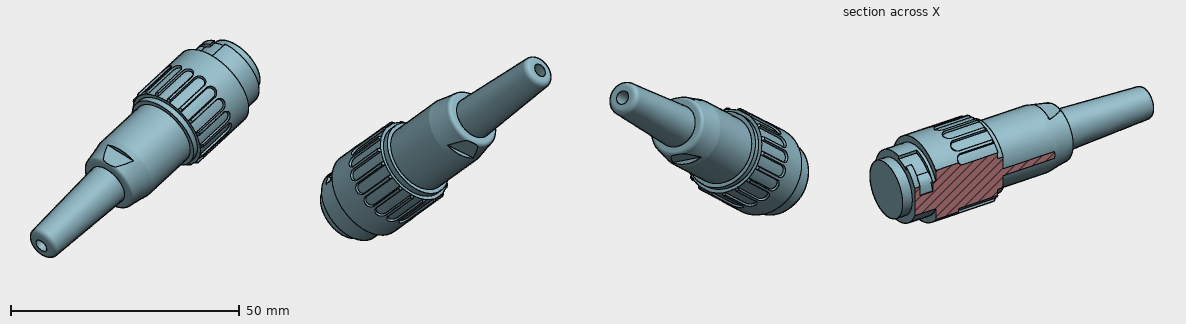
import cadquery as cq
import math


insert_dia = 13.5
bayonet_dia = 17.0
bayonet_start = 2.5

sleeve_dia = 20.0
sleeve_start = 7.95
sleeve_end = 24.05
sleeve_chamfer = 0.5
collar_dia = 17.4
collar_end = 25.4

body_dia = 15.5
body_end = 38.6
nose_end = 44.5
nose_fillet = 0.9
nose_taper_end = nose_end - nose_fillet
nose_dia = 13.6
flat_start = 40.05
flat_distance = 6.55

cable_base_dia = 9.6
cable_tip_dia = 7.55
total_length = 67.4
cable_fillet = 1.2
cable_taper_end = total_length - cable_fillet
cable_hole_dia = 3.0
cable_hole_depth = 6.75

flute_count = 18
flute_first_angle = -8.0
flute_width = 2.4
flute_wall_slope = 22.0
flute_depth = 0.505
flute_start = 14.1
flute_floor_radius = sleeve_dia / 2 - flute_depth

slot_floor_dia = 15.5
slot_side_x = -1.15
slot_lip_x = -4.2
slot_stop_z = 1.3
slot_lip_end = 3.9
slot_end = 7.15
bump_radius = 2.95
bump_center = (-5.0, 2.35)
bump_back_z = 3.6

clearance = 0.7


def disc(diameter, start, end):
    """Cylinder on the connector axis between two distances from the mating face."""
    return cq.Workplane("XZ", origin=(0, -start, 0)).circle(diameter / 2).extrude(end - start)


def block(x_min, x_max, z_min, z_max, start, end):
    """Box between two distances from the mating face."""
    return (
        cq.Workplane("XZ", origin=(0, -start, 0))
        .moveTo(x_min, z_min)
        .lineTo(x_max, z_min)
        .lineTo(x_max, z_max)
        .lineTo(x_min, z_max)
        .close()
        .extrude(end - start)
    )


def quarter_arc_point(radius, end, fillet):
    """Middle point of a rounded rim of the given outer radius and end distance."""
    inset = fillet * (1 - math.sqrt(0.5))
    return (radius - inset, inset - end)


def make_shell():
    """Turned outline of everything except the coupling sleeve."""
    nose_radius = nose_dia / 2
    cable_radius = cable_tip_dia / 2
    outline = (
        cq.Workplane("XY")
        .lineTo(insert_dia / 2, 0)
        .lineTo(insert_dia / 2, -bayonet_start)
        .lineTo(bayonet_dia / 2, -bayonet_start)
        .lineTo(bayonet_dia / 2, -sleeve_start)
        .lineTo(collar_dia / 2, -sleeve_start)
        .lineTo(collar_dia / 2, -collar_end)
        .lineTo(body_dia / 2, -collar_end)
        .lineTo(body_dia / 2, -body_end)
        .lineTo(nose_radius, -nose_taper_end)
        .threePointArc(
            quarter_arc_point(nose_radius, nose_end, nose_fillet),
            (nose_radius - nose_fillet, -nose_end),
        )
        .lineTo(cable_base_dia / 2, -nose_end)
        .lineTo(cable_radius, -cable_taper_end)
        .threePointArc(
            quarter_arc_point(cable_radius, total_length, cable_fillet),
            (cable_radius - cable_fillet, -total_length),
        )
        .lineTo(0, -total_length)
        .close()
    )
    return outline.revolve(360, (0, 0, 0), (0, 1, 0))


def make_flute_cutter():
    """Round-ended flute with sloping walls, at the top and open toward the cable end."""
    half_width = flute_width / 2
    floor_edge_height = math.sqrt(flute_floor_radius**2 - half_width**2)
    top_height = sleeve_dia / 2 + clearance
    straight_start = flute_start + half_width
    cutter_end = sleeve_end + clearance
    return (
        cq.Workplane("XY", origin=(0, 0, floor_edge_height))
        .moveTo(-half_width, -cutter_end)
        .lineTo(-half_width, -straight_start)
        .threePointArc((0, -flute_start), (half_width, -straight_start))
        .lineTo(half_width, -cutter_end)
        .close()
        .extrude(top_height - floor_edge_height, taper=-flute_wall_slope)
    )


def make_sleeve():
    """Coupling sleeve, chamfered at its cable end, with flutes that share one cylindrical floor."""
    sleeve = disc(sleeve_dia, sleeve_start, sleeve_end).faces("<Y").chamfer(sleeve_chamfer)
    cutter = make_flute_cutter()
    for index in range(flute_count):
        angle = flute_first_angle + index * 360 / flute_count
        sleeve = sleeve.cut(cutter.rotate((0, 0, 0), (0, 1, 0), angle))
    flute_floors = disc(2 * flute_floor_radius, sleeve_start, sleeve_end)
    return sleeve.union(flute_floors)


def make_slot_cutter():
    """L-shaped bayonet slot: axial entry, then a run around the ring past a locking bump."""
    outside = bayonet_dia / 2 + clearance
    entry = block(slot_lip_x, slot_side_x, 0, outside, bayonet_start, slot_end)
    run = block(-outside, slot_side_x, slot_stop_z, outside, slot_lip_end, slot_end)
    floor = disc(slot_floor_dia, bayonet_start, slot_end)
    bump = (
        cq.Workplane("XZ", origin=(0, -slot_lip_end, 0))
        .center(*bump_center)
        .circle(bump_radius)
        .extrude(slot_end - slot_lip_end)
        .intersect(block(-outside, 0, bump_back_z, outside, slot_lip_end, slot_end))
    )
    return entry.union(run).cut(floor).cut(bump)


def make_nose_flats():
    """Pair of wrench flats, above and below the nose."""
    half = body_dia / 2 + clearance
    above = block(-half, half, flat_distance, half, flat_start, nose_end)
    return above.union(above.mirror("XY"))


cable_hole = disc(cable_hole_dia, total_length - cable_hole_depth, total_length)

result = (
    make_shell()
    .union(make_sleeve())
    .cut(make_slot_cutter())
    .cut(make_nose_flats())
    .cut(cable_hole)
)